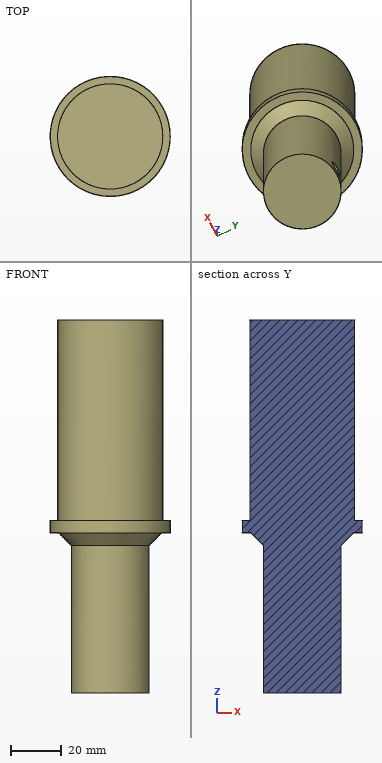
import cadquery as cq

total_length = 149.0
shank_diameter = 31.0
body_diameter = 42.0
flange_diameter = 48.0
body_length = 80.0
flange_thickness = 5.0
cone_height = 5.0
screw_hole_diameter = 6.3
screw_hole_depth = 6.5
screw_hole_height = 8.2

shank_radius = shank_diameter / 2
body_radius = body_diameter / 2
flange_radius = flange_diameter / 2
cone_top_radius = shank_radius + cone_height
flange_top = total_length - body_length
flange_bottom = flange_top - flange_thickness
shank_top = flange_bottom - cone_height


def make_stepped_pin():
    """Shank, cone, flange and body revolved from one half profile in (radius, Z)."""
    profile = (
        cq.Workplane("XZ")
        .lineTo(shank_radius, 0)
        .lineTo(shank_radius, shank_top)
        .lineTo(cone_top_radius, flange_bottom)
        .lineTo(flange_radius, flange_bottom)
        .lineTo(flange_radius, flange_top)
        .lineTo(body_radius, flange_top)
        .lineTo(body_radius, total_length)
        .lineTo(0, total_length)
        .close()
    )
    return profile.revolve(360, (0, 0, 0), (0, 1, 0))


def make_screw_hole():
    """Blind radial hole entering the shank from its +Y side."""
    floor_y = shank_radius - screw_hole_depth
    return cq.Workplane(
        cq.Solid.makeCylinder(
            screw_hole_diameter / 2,
            shank_radius,
            cq.Vector(0, floor_y, screw_hole_height),
            cq.Vector(0, 1, 0),
        )
    )


result = make_stepped_pin().cut(make_screw_hole())